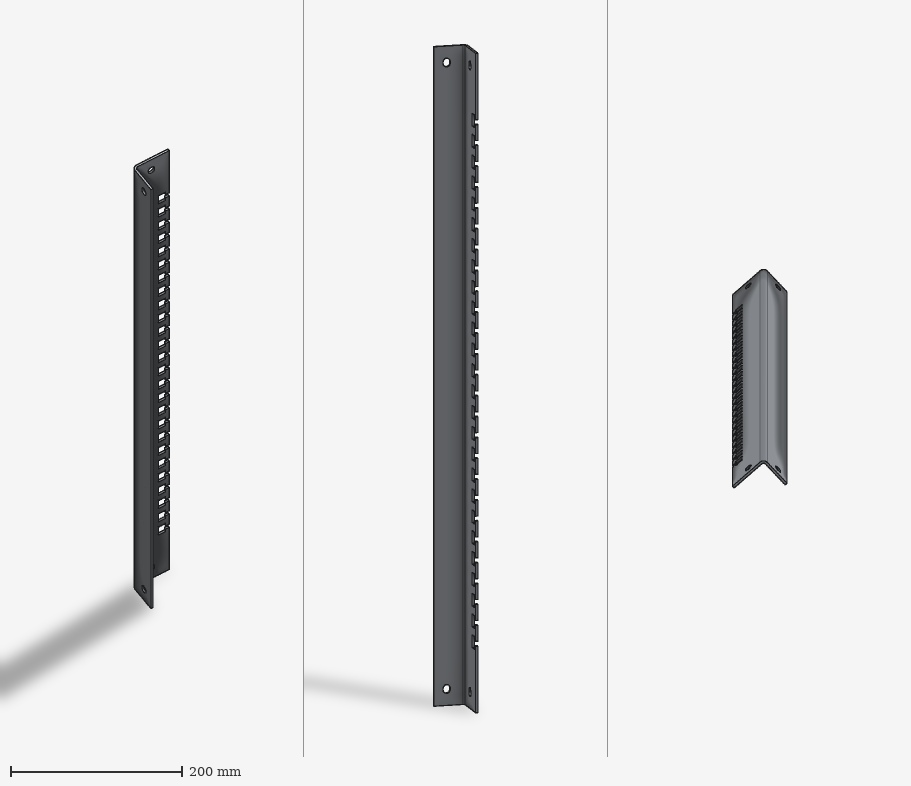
import cadquery as cq

length = 790.0
front_width = 40.0
side_width = 50.0
thickness = 3.0
inner_bend_radius = thickness
outer_bend_radius = inner_bend_radius + thickness

hole_width = 9.0
hole_height = 10.0
hole_end_distance = 20.0
hole_corner_distance = side_width / 2
hole_heights = (hole_end_distance, length - hole_end_distance)

notch_count = 26
notch_row_length = 625.0
notch_pitch = notch_row_length / (notch_count - 1)
first_notch_height = (length - notch_row_length) / 2
mouth_height = 6.0
mouth_depth = 5.05
pocket_height = 15.0
notch_depth = 15.0


def corner_block(offset, bend_radius):
    """Full-length block starting at (offset, offset), rounded along its corner edge."""
    return (
        cq.Workplane("XY")
        .moveTo(offset, offset)
        .rect(front_width, side_width, centered=False)
        .extrude(length)
        .edges("|Z and <X and <Y")
        .fillet(bend_radius)
    )


def make_angle():
    """L-section with a rounded bend, running the full length."""
    return corner_block(0, outer_bend_radius).cut(corner_block(thickness, inner_bend_radius))


def front_hole(height):
    """Upright slot cutter through the front flange, along Y."""
    return (
        cq.Workplane("XZ")
        .center(hole_corner_distance, height)
        .slot2D(hole_height, hole_width, 90)
        .extrude(-thickness)
    )


def side_hole(height):
    """Upright slot cutter through the side flange, along X."""
    return (
        cq.Workplane("YZ")
        .center(hole_corner_distance, height)
        .slot2D(hole_height, hole_width, 90)
        .extrude(thickness)
    )


def notch(height):
    """T-shaped cutter: a narrow mouth at the free edge opening into a taller pocket."""
    pocket_depth = notch_depth - mouth_depth
    mouth = (
        cq.Workplane("YZ")
        .center(side_width - notch_depth / 2, height)
        .rect(notch_depth, mouth_height)
        .extrude(thickness)
    )
    pocket = (
        cq.Workplane("YZ")
        .center(side_width - mouth_depth - pocket_depth / 2, height)
        .rect(pocket_depth, pocket_height)
        .extrude(thickness)
    )
    return mouth.union(pocket)


result = make_angle()

for hole_z in hole_heights:
    result = result.cut(front_hole(hole_z)).cut(side_hole(hole_z))

for index in range(notch_count):
    result = result.cut(notch(first_notch_height + index * notch_pitch))